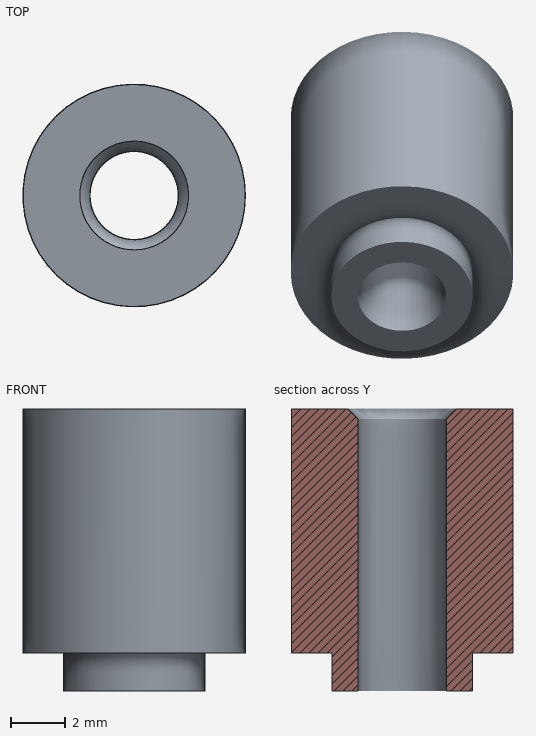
import cadquery as cq

total_height = 10.4
spigot_height = 1.4
body_diameter = 8.2
spigot_diameter = 5.2
bore_diameter = 3.25
countersink_diameter = 4.0

body_height = total_height - spigot_height
countersink_depth = (countersink_diameter - bore_diameter) / 2

spigot = cq.Workplane("XY").circle(spigot_diameter / 2).extrude(spigot_height)
spacer = spigot.faces(">Z").workplane().circle(body_diameter / 2).extrude(body_height)

spacer = spacer.faces(">Z").workplane().hole(bore_diameter)

result = spacer.faces(">Z").edges("%CIRCLE").edges(cq.selectors.RadiusNthSelector(0)).chamfer(countersink_depth)